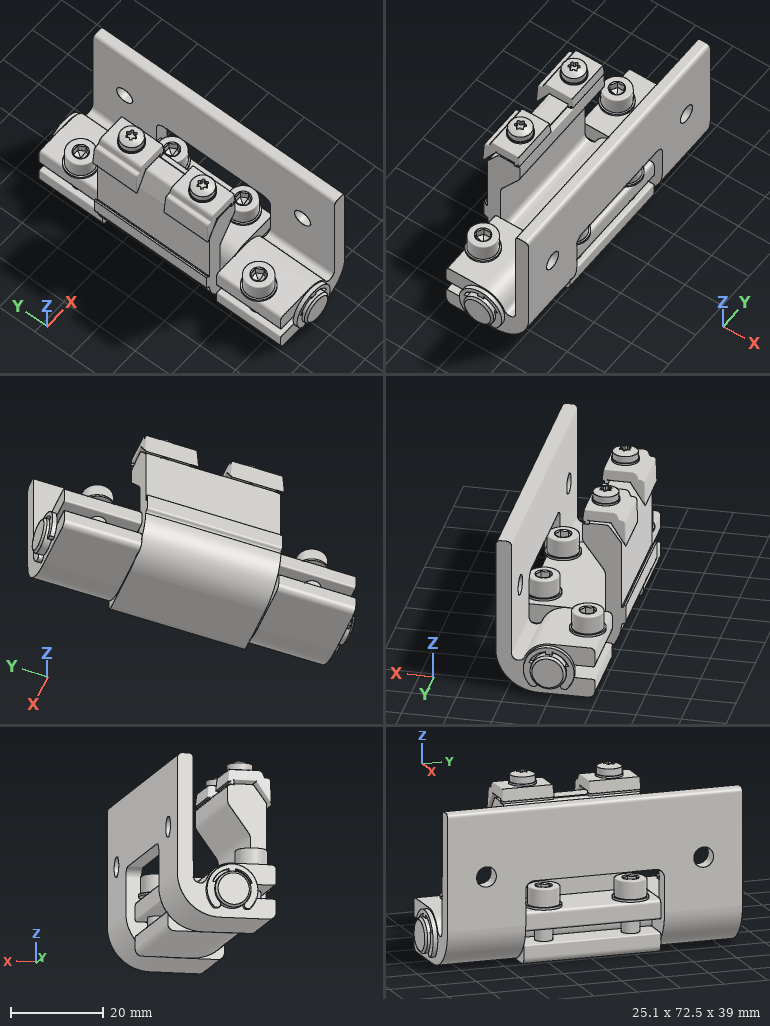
import cadquery as cq
import math


PIN_LENGTH = 72.5
PIN_RADIUS = 4.0
PIN_CHAMFER = 0.5
CLIP_RADIUS = 5.65
CLIP_THICKNESS = 1.1
CLIP_POCKET_RADIUS = 4.65
CLIP_MOUTH_WIDTH = 5.2
CLIP_TIP_DEPTH = 4.05
CLIP_TIP_ROUND = 0.65
CLIP_TONGUE_WIDTH = 1.5
CLIP_POCKET_BASE = 1.6

BARREL_RADIUS = 6.0
SLOT_HALF_HEIGHT = 1.5
JAW_REACH = 10.0
JAW_TOP_ROUND = 1.0
JAW_SLOT_ROUND = 0.4
JAW_BOTTOM_ROUND = 1.5
WALL_INSIDE = 8.5
WALL_OUTSIDE = 12.0
HEEL_RADIUS = 9.5
GROOVE_RADIUS = 1.5
WALL_JOINT = 6.9

PLATE_WIDTH = 68.0
PLATE_TOP = 30.0
PLATE_EDGE_ROUND = 1.1
WINDOW_WIDTH = 32.0
WINDOW_TOP = 13.35
WINDOW_ROUND = 2.0
HOLE_RADIUS = 2.25
HOLE_HEIGHT = 15.15
OUTER_SPACING = 50

ARM_WIDTH = 31.55
ARM_OFFSET = 0.1
ARM_TOP = 27.0
ARM_SLOPE_START = 22.9
ARM_TOP_LEFT = -9.05
ARM_TOP_RIGHT = -3.3
REBATE_ROUND = 0.35
ARM_BEND_LOW = 15.6
ARM_BEND_HIGH = 22.7
ARM_LOW_ROUND = 3.0
ARM_HIGH_ROUND = 2.0
ARM_CORNER_ROUND = 1.0
LIP_REACH = 13.05
LIP_TOP = 7.9
LIP_NOTCH = 7.3
LIP_BOTTOM = 4.05
LIP_HOOK_ROOT = -12.3
LIP_HOOK_TIP = -12.6
LIP_CURVE_MIDDLE = (-12.55, 3.4)
LIP_CURVE_END = (-11.95, 2.55)
INNER_SPACING = 20.0

SCREW_X = 6.5
SHANK_RADIUS = 2.0
WASHER_RADIUS = 4.0
WASHER_THICKNESS = 0.5
HEAD_RADIUS = 3.55
HEAD_HEIGHT = 4.1
HEAD_ROUND = 0.35
SOCKET_CORNERS = 3.6
COUNTERSINK_RADIUS = 1.9
COUNTERSINK_DEPTH = 0.3
COUNTERSINK_TAPER = 45
SOCKET_DEPTH = 2.0
SOCKET_TIP_DEPTH = 0.7
SOCKET_TIP_ANGLE = 65

CAP_TOP_Z = 30.15
CAP_CROWN = (-11.0, CAP_TOP_Z)
CAP_CROWN_ROUND = 1.1
CAP_SHELF = (-11.6, 28.6)
CAP_SHELF_ROUND = 0.4
CAP_BROW = (-12.9, 28.6)
CAP_BROW_ROUND = 0.7
CAP_HOOK_TIP = (-13.05, 22.5)
CAP_UNDERSIDE = (-9.65, 27.6)
CAP_FOOT_FRONT = -4.8
CAP_FOOT_BACK = -3.85
CAP_FOOT_Z = 26.75
CAP_BACK_BOTTOM = -3.3
CAP_BACK_TOP = -3.6
CAP_BACK_EDGE_Z = 27.3
CAP_END_ROUND = 0.2
CAP_TOP_WIDTH = 11.7
CAP_BOTTOM_WIDTH = 12.6
CAP_SCREW_X = -7.3
CAP_SHANK_RADIUS = 1.4
CAP_WASHER_RADIUS = 3.05
CAP_WASHER_THICKNESS = 0.4
BUTTON_RADIUS = 2.8
BUTTON_SIDE = 1.6
BUTTON_TOP_Z = 33.05
LOBE_CIRCLE = 1.0
LOBE_RADIUS = 0.3
LOBE_CORE = 0.95
LOBE_DEPTH = 1.3


def polar(radius, degrees, center=(0, 0)):
    angle = math.radians(degrees)
    return center[0] + radius * math.cos(angle), center[1] + radius * math.sin(angle)


def section(y=0):
    """XZ workplane whose origin lies at the given Y."""
    return cq.Workplane("XZ", origin=(0, y, 0))


def upright(x, y, z):
    """XY workplane with its origin at a point."""
    return cq.Workplane("XY", origin=(x, y, z))


def round_edge(body, x, z, radius):
    """Fillet the edges along Y that pass through (x, z)."""
    reach = 0.035
    far = PIN_LENGTH
    near_edge = cq.selectors.BoxSelector((x - reach, -far, z - reach), (x + reach, far, z + reach))
    return body.edges("|Y").edges(near_edge).fillet(radius)


def knuckle(width):
    """Slotted barrel with clamping jaws toward -X and the root of a wall on +X."""
    groove_distance = BARREL_RADIUS + GROOVE_RADIUS
    groove_x = WALL_INSIDE - GROOVE_RADIUS
    groove_angle = math.degrees(math.acos(groove_x / groove_distance))
    groove_center = polar(groove_distance, groove_angle)
    groove_middle = (180 + groove_angle + 360) / 2
    heel_center = (WALL_OUTSIDE - HEEL_RADIUS, HEEL_RADIUS - BARREL_RADIUS)

    body = (
        section()
        .moveTo(0, BARREL_RADIUS)
        .threePointArc(
            polar(BARREL_RADIUS, (90 + groove_angle) / 2),
            polar(BARREL_RADIUS, groove_angle),
        )
        .threePointArc(
            polar(GROOVE_RADIUS, groove_middle, groove_center),
            (WALL_INSIDE, groove_center[1]),
        )
        .lineTo(WALL_INSIDE, WALL_JOINT)
        .lineTo(WALL_OUTSIDE, WALL_JOINT)
        .lineTo(WALL_OUTSIDE, heel_center[1])
        .threePointArc(polar(HEEL_RADIUS, -45, heel_center), (heel_center[0], -BARREL_RADIUS))
        .lineTo(-JAW_REACH, -BARREL_RADIUS)
        .lineTo(-JAW_REACH, -SLOT_HALF_HEIGHT)
        .lineTo(0, -SLOT_HALF_HEIGHT)
        .lineTo(0, SLOT_HALF_HEIGHT)
        .lineTo(-JAW_REACH, SLOT_HALF_HEIGHT)
        .lineTo(-JAW_REACH, BARREL_RADIUS)
        .close()
        .extrude(width / 2, both=True)
    )
    body = round_edge(body, -JAW_REACH, BARREL_RADIUS, JAW_TOP_ROUND)
    body = round_edge(body, -JAW_REACH, SLOT_HALF_HEIGHT, JAW_SLOT_ROUND)
    body = round_edge(body, -JAW_REACH, -SLOT_HALF_HEIGHT, JAW_SLOT_ROUND)
    body = round_edge(body, -JAW_REACH, -BARREL_RADIUS, JAW_BOTTOM_ROUND)
    bore = section().circle(PIN_RADIUS).extrude(width, both=True)
    return body.cut(bore)


def clamp_screw(x, y):
    """Socket-head screw with washer, standing on a jaw and crossing its slot."""
    shank_bottom = -(SLOT_HALF_HEIGHT + BARREL_RADIUS) / 2
    shank = upright(x, y, shank_bottom).circle(SHANK_RADIUS).extrude(BARREL_RADIUS - shank_bottom)
    washer = upright(x, y, BARREL_RADIUS).circle(WASHER_RADIUS).extrude(WASHER_THICKNESS)
    head_bottom = BARREL_RADIUS + WASHER_THICKNESS
    head_top = head_bottom + HEAD_HEIGHT
    head = upright(x, y, head_bottom).circle(HEAD_RADIUS).extrude(HEAD_HEIGHT)
    head = head.faces(">Z").edges().fillet(HEAD_ROUND)
    socket_bottom = head_top - SOCKET_DEPTH
    socket = upright(x, y, socket_bottom).polygon(6, SOCKET_CORNERS).extrude(SOCKET_DEPTH)
    tip = (
        upright(x, y, socket_bottom)
        .polygon(6, SOCKET_CORNERS)
        .extrude(-SOCKET_TIP_DEPTH, taper=SOCKET_TIP_ANGLE)
    )
    countersink = (
        upright(x, y, head_top)
        .circle(COUNTERSINK_RADIUS)
        .extrude(-COUNTERSINK_DEPTH, taper=COUNTERSINK_TAPER)
    )
    head = head.cut(socket).cut(tip).cut(countersink)
    return shank.union(washer).union(head)


def cap(y):
    """Hooked cap over the top of the arm, with drafted ends and softened edges."""
    body = (
        section(y)
        .moveTo(*CAP_CROWN)
        .lineTo(CAP_BACK_TOP, CAP_TOP_Z)
        .lineTo(CAP_BACK_BOTTOM, CAP_BACK_EDGE_Z)
        .lineTo(CAP_FOOT_BACK, CAP_BACK_EDGE_Z)
        .lineTo(CAP_FOOT_BACK, CAP_FOOT_Z)
        .lineTo(CAP_FOOT_FRONT, CAP_FOOT_Z)
        .lineTo(CAP_FOOT_FRONT, CAP_UNDERSIDE[1])
        .lineTo(*CAP_UNDERSIDE)
        .lineTo(*CAP_HOOK_TIP)
        .lineTo(*CAP_BROW)
        .lineTo(*CAP_SHELF)
        .close()
        .extrude(CAP_BOTTOM_WIDTH / 2, both=True)
    )
    body = round_edge(body, *CAP_CROWN, CAP_CROWN_ROUND)
    body = round_edge(body, *CAP_SHELF, CAP_SHELF_ROUND)
    body = round_edge(body, *CAP_BROW, CAP_BROW_ROUND)
    half_top = CAP_TOP_WIDTH / 2
    half_bottom = CAP_BOTTOM_WIDTH / 2
    draft = (
        cq.Workplane("YZ", origin=(0, y, 0))
        .polyline(
            [
                (-half_bottom, CAP_HOOK_TIP[1]),
                (half_bottom, CAP_HOOK_TIP[1]),
                (half_top, CAP_TOP_Z),
                (-half_top, CAP_TOP_Z),
            ]
        )
        .close()
        .extrude(-PIN_LENGTH)
    )
    body = body.intersect(draft)
    return body.faces("<Y or >Y").edges().fillet(CAP_END_ROUND)


def button_screw(y):
    """Domed screw with washer and six-lobed recess, fixing a cap to the arm."""
    x = CAP_SCREW_X
    shank_bottom = ARM_BEND_HIGH
    shank = upright(x, y, shank_bottom).circle(CAP_SHANK_RADIUS).extrude(CAP_TOP_Z - shank_bottom)
    washer = upright(x, y, CAP_TOP_Z).circle(CAP_WASHER_RADIUS).extrude(CAP_WASHER_THICKNESS)
    head_bottom = CAP_TOP_Z + CAP_WASHER_THICKNESS
    dome_bottom = head_bottom + BUTTON_SIDE
    dome_rise = BUTTON_TOP_Z - dome_bottom
    sphere_radius = (BUTTON_RADIUS**2 + dome_rise**2) / (2 * dome_rise)
    sphere = upright(x, y, BUTTON_TOP_Z - sphere_radius).sphere(sphere_radius)
    head = upright(x, y, head_bottom).circle(BUTTON_RADIUS).extrude(BUTTON_SIDE + dome_rise)
    head = head.intersect(sphere)
    recess_bottom = upright(x, y, BUTTON_TOP_Z - LOBE_DEPTH)
    core = recess_bottom.circle(LOBE_CORE).extrude(LOBE_DEPTH)
    lobes = recess_bottom.polarArray(LOBE_CIRCLE, 90, 360, 6).circle(LOBE_RADIUS).extrude(LOBE_DEPTH)
    return shank.union(washer).union(head.cut(core).cut(lobes))


def make_outer_leaf():
    """Tall plate with a knuckle at each end and a window between them."""
    leaf = knuckle(PLATE_WIDTH)
    plate = (
        upright((WALL_INSIDE + WALL_OUTSIDE) / 2, 0, WALL_JOINT)
        .rect(WALL_OUTSIDE - WALL_INSIDE, PLATE_WIDTH)
        .extrude(PLATE_TOP - WALL_JOINT)
        .faces(">Z")
        .edges("|Y")
        .fillet(PLATE_EDGE_ROUND)
    )
    leaf = leaf.union(plate)

    window_bottom = -2 * BARREL_RADIUS
    window = (
        upright(0, 0, window_bottom)
        .rect(PIN_LENGTH, WINDOW_WIDTH)
        .extrude(WINDOW_TOP - window_bottom)
        .faces(">Z")
        .edges("|X")
        .fillet(WINDOW_ROUND)
    )
    leaf = leaf.cut(window)

    for y in (-OUTER_SPACING / 2, OUTER_SPACING / 2):
        hole = (
            cq.Workplane("YZ", origin=(WALL_INSIDE, y, HOLE_HEIGHT))
            .circle(HOLE_RADIUS)
            .extrude(WALL_OUTSIDE - WALL_INSIDE)
        )
        leaf = leaf.cut(hole).union(clamp_screw(-SCREW_X, y))
    return leaf


def make_arm():
    """Cranked arm that rises from the inner knuckle, with a rebate for the cap feet along its top."""
    arm = (
        section()
        .moveTo(-WALL_OUTSIDE, WALL_JOINT)
        .lineTo(-WALL_OUTSIDE, ARM_SLOPE_START)
        .lineTo(ARM_TOP_LEFT, ARM_TOP)
        .lineTo(CAP_FOOT_FRONT, ARM_TOP)
        .lineTo(CAP_FOOT_FRONT, CAP_FOOT_Z)
        .lineTo(ARM_TOP_RIGHT, CAP_FOOT_Z)
        .lineTo(ARM_TOP_RIGHT, ARM_BEND_HIGH)
        .lineTo(-WALL_INSIDE, ARM_BEND_LOW)
        .lineTo(-WALL_INSIDE, WALL_JOINT)
        .close()
        .extrude(ARM_WIDTH / 2, both=True)
    )
    arm = round_edge(arm, -WALL_OUTSIDE, ARM_SLOPE_START, ARM_CORNER_ROUND)
    arm = round_edge(arm, ARM_TOP_LEFT, ARM_TOP, ARM_CORNER_ROUND)
    arm = round_edge(arm, ARM_TOP_RIGHT, CAP_FOOT_Z, REBATE_ROUND)
    arm = round_edge(arm, ARM_TOP_RIGHT, ARM_BEND_HIGH, ARM_HIGH_ROUND)
    return round_edge(arm, -WALL_INSIDE, ARM_BEND_LOW, ARM_LOW_ROUND)


def make_lip():
    """Hooked lip along the outside of the inner leaf."""
    return (
        section()
        .moveTo(-WALL_INSIDE, LIP_NOTCH)
        .lineTo(LIP_HOOK_ROOT, LIP_NOTCH)
        .lineTo(LIP_HOOK_TIP, LIP_TOP)
        .lineTo(-LIP_REACH, LIP_TOP)
        .lineTo(-LIP_REACH, LIP_BOTTOM)
        .tangentArcPoint(LIP_CURVE_MIDDLE, relative=False)
        .tangentArcPoint(LIP_CURVE_END, relative=False)
        .lineTo(-WALL_INSIDE, LIP_CURVE_END[1])
        .close()
        .extrude(ARM_WIDTH / 2, both=True)
    )


def make_inner_leaf():
    """Middle knuckle facing +X with its arm, lip, caps and screws."""
    leaf = knuckle(ARM_WIDTH).mirror("YZ").union(make_arm()).union(make_lip())
    for y in (-INNER_SPACING / 2, INNER_SPACING / 2):
        leaf = leaf.union(clamp_screw(SCREW_X, y)).union(cap(y)).union(button_screw(y))
    return leaf.translate((0, ARM_OFFSET, 0))


def retaining_clip():
    """Snap ring with a mouth at the bottom and two inner pockets, extending toward +Y from Y = 0."""
    ring = section().circle(CLIP_RADIUS).extrude(-CLIP_THICKNESS)
    mouth = section().rect(CLIP_MOUTH_WIDTH, 2 * CLIP_RADIUS).extrude(-CLIP_THICKNESS)
    mouth = mouth.translate((0, 0, -CLIP_RADIUS))
    below_tips = section().rect(2 * CLIP_RADIUS, CLIP_RADIUS).extrude(-CLIP_THICKNESS)
    below_tips = below_tips.translate((0, 0, -CLIP_TIP_DEPTH - CLIP_RADIUS / 2))
    ring = ring.cut(mouth).cut(below_tips)
    for side in (-1, 1):
        ring = round_edge(ring, side * CLIP_MOUTH_WIDTH / 2, -CLIP_TIP_DEPTH, CLIP_TIP_ROUND)
    pocket_width = CLIP_POCKET_RADIUS - CLIP_TONGUE_WIDTH / 2
    pocket_disc = section().circle(CLIP_POCKET_RADIUS).extrude(-CLIP_THICKNESS)
    for side in (-1, 1):
        block = section().rect(pocket_width, CLIP_POCKET_RADIUS).extrude(-CLIP_THICKNESS)
        block = block.translate(
            (
                side * (CLIP_TONGUE_WIDTH + pocket_width) / 2,
                0,
                CLIP_POCKET_BASE + CLIP_POCKET_RADIUS / 2,
            )
        )
        ring = ring.cut(pocket_disc.intersect(block))
    return ring


def make_pin():
    """Chamfered pin with a retaining clip against each end of the outer leaf."""
    pin = section().circle(PIN_RADIUS).extrude(PIN_LENGTH / 2, both=True)
    pin = pin.faces("<Y or >Y").edges().chamfer(PIN_CHAMFER)
    for clip_y in (-PLATE_WIDTH / 2 - CLIP_THICKNESS, PLATE_WIDTH / 2):
        pin = pin.union(retaining_clip().translate((0, clip_y, 0)))
    return pin


outer_leaf = make_outer_leaf()
inner_leaf = make_inner_leaf()
pin = make_pin()

result = cq.Compound.makeCompound([outer_leaf.val(), inner_leaf.val(), pin.val()])